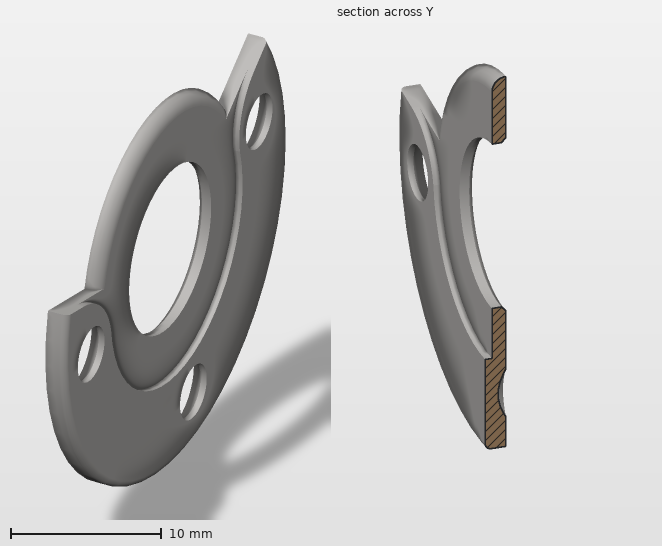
import cadquery as cq
import math

thickness = 1.5
disc_radius = 16.22
rim_round = 0.45

web_thickness = 1.0
recess_radius = 9.6
nook_tip_radius = 13.82

hub_radius = 10.77
hub_round = 0.97
cut_start_angle = 34.8
cut_end_angle = 167.5

bore_radius = 5.97
bore_chamfer = 0.32

screw_circle_radius = 12.53
left_screw_angle = 16.3
right_screw_angle = 185.9
bottom_screw_angle = 281.2
screw_angles = (left_screw_angle, right_screw_angle, bottom_screw_angle)
screw_radius = 1.95
countersink_radius = 3.0
countersink_depth = countersink_radius - screw_radius


def cylinder(radius, start, end):
    """Solid cylinder about the X axis between two X positions."""
    return cq.Workplane("YZ", origin=(start, 0, 0)).circle(radius).extrude(end - start)


def polar(radius, angle):
    """Y and Z of a point given by its radius and its angle from +Y."""
    return radius * math.cos(math.radians(angle)), radius * math.sin(math.radians(angle))


def make_disc():
    disc = cylinder(disc_radius, 0, thickness).faces(">X").edges().fillet(rim_round)
    return disc.cut(cylinder(recess_radius, web_thickness, thickness))


def make_nook(wall_angle, screw_angle):
    """Nook bounded by the wall and an arc tangent to it at the tip, ending on the recess circle."""
    opening = math.radians(abs(screw_angle - wall_angle))
    side = math.copysign(1, screw_angle - wall_angle)

    run = nook_tip_radius - recess_radius * math.cos(opening)
    drop = recess_radius * math.sin(opening)
    arc_radius = (run**2 + drop**2) / (2 * drop)
    half_sweep = math.atan2(drop, run)

    middle_along = nook_tip_radius - arc_radius * math.sin(half_sweep)
    middle_away = arc_radius * (1 - math.cos(half_sweep))
    middle_distance = math.hypot(middle_along, middle_away)
    middle_angle = wall_angle + side * math.degrees(math.atan2(middle_away, middle_along))

    return (
        cq.Workplane("YZ", origin=(web_thickness, 0, 0))
        .moveTo(0, 0)
        .lineTo(*polar(nook_tip_radius, wall_angle))
        .threePointArc(polar(middle_distance, middle_angle), polar(recess_radius, screw_angle))
        .close()
        .extrude(thickness - web_thickness)
    )


def make_sector():
    """Wedge above the radial walls, reaching past the disc."""
    reach = 2 * disc_radius
    middle_angle = (cut_start_angle + cut_end_angle) / 2
    return (
        cq.Workplane("YZ")
        .moveTo(0, 0)
        .lineTo(*polar(reach, cut_start_angle))
        .threePointArc(polar(reach, middle_angle), polar(reach, cut_end_angle))
        .close()
        .extrude(thickness)
    )


def make_hub():
    return cylinder(hub_radius, 0, web_thickness).faces(">X").edges().fillet(hub_round)


def make_bore():
    chamfer = cq.Solid.makeCone(
        bore_radius + bore_chamfer, bore_radius, bore_chamfer, cq.Vector(), cq.Vector(1, 0, 0)
    )
    return cylinder(bore_radius, 0, thickness).union(cq.Workplane(chamfer))


def make_screw_hole(angle):
    y, z = polar(screw_circle_radius, angle)
    countersink = cq.Solid.makeCone(
        countersink_radius, screw_radius, countersink_depth, cq.Vector(), cq.Vector(1, 0, 0)
    )
    hole = cylinder(screw_radius, 0, thickness).union(cq.Workplane(countersink))
    return hole.translate((0, y, z))


result = make_disc().cut(make_sector().cut(make_hub())).cut(make_bore())
result = result.cut(make_nook(cut_start_angle, left_screw_angle))
result = result.cut(make_nook(cut_end_angle, right_screw_angle))
for screw_angle in screw_angles:
    result = result.cut(make_screw_hole(screw_angle))